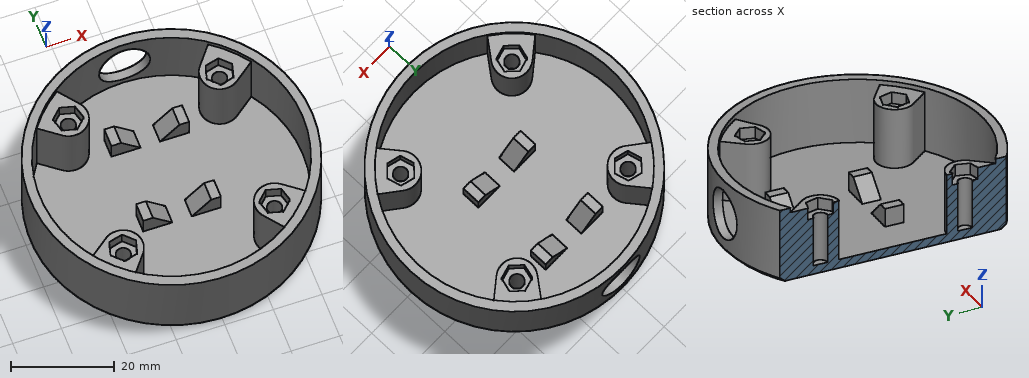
import cadquery as cq
import math

outer_diameter = 58.0
wall_thickness = 2.0
cup_height = 16.0
floor_thickness = 2.0
bottom_chamfer = 1.0
outer_radius = outer_diameter / 2
inner_radius = outer_radius - wall_thickness

post_count = 4
post_first_angle = 45.0
post_circle_radius = 22.0
post_radius = 4.0
post_flare_angle = 7.2
post_root_embed = wall_thickness / 2
rim_above_post = 1.0
post_top = cup_height - rim_above_post
screw_hole_diameter = 3.0
nut_pocket_corner_diameter = 6.0
nut_sides = 6
nut_pocket_turn = 90.0
nut_pocket_depth = 2.5

wedge_length = 6.0
wedge_width = 4.0
wedge_height = 4.0
wedge_flat = 2.0
wedge_toe_offset = 2.0
wedge_row_centers = (-4.0, 14.0)

cable_hole_diameter = 10.5
cable_hole_height = 8.5


def make_cup():
    """Open round cup with a chamfered bottom edge."""
    cup = cq.Workplane("XY").circle(outer_radius).extrude(cup_height)
    cup = cup.faces("<Z").chamfer(bottom_chamfer)
    cavity = (
        cq.Workplane("XY", origin=(0, 0, floor_thickness))
        .circle(inner_radius)
        .extrude(cup_height - floor_thickness)
    )
    return cup.cut(cavity)


def make_post():
    """Post on the +X axis: a rounded nose whose tangent sides flare out into the wall."""
    flare = math.radians(post_flare_angle)
    tangent_x = post_circle_radius - post_radius * math.sin(flare)
    tangent_y = post_radius * math.cos(flare)
    root_x = inner_radius + post_root_embed
    root_y = tangent_y + (root_x - tangent_x) * math.tan(flare)
    return (
        cq.Workplane("XY", origin=(0, 0, floor_thickness))
        .moveTo(root_x, -root_y)
        .lineTo(tangent_x, -tangent_y)
        .threePointArc((post_circle_radius - post_radius, 0), (tangent_x, tangent_y))
        .lineTo(root_x, root_y)
        .close()
        .extrude(post_top - floor_thickness)
    )


def make_post_bore():
    """Screw hole down to the floor with a hexagonal nut pocket at the post top."""
    hole = (
        cq.Workplane("XY", origin=(post_circle_radius, 0, floor_thickness))
        .circle(screw_hole_diameter / 2)
        .extrude(post_top - floor_thickness)
    )
    pocket = (
        cq.Workplane("XY", origin=(post_circle_radius, 0, post_top - nut_pocket_depth))
        .transformed(rotate=(0, 0, nut_pocket_turn))
        .polygon(nut_sides, nut_pocket_corner_diameter)
        .extrude(nut_pocket_depth)
    )
    return hole.union(pocket)


def make_wedge(row_center):
    """Wedge on the +X side, rising away from the centre to a flat top."""
    heel_x = wedge_toe_offset + wedge_length
    return (
        cq.Workplane("XZ", origin=(0, row_center, floor_thickness))
        .moveTo(wedge_toe_offset, 0)
        .lineTo(heel_x, 0)
        .lineTo(heel_x, wedge_height)
        .lineTo(heel_x - wedge_flat, wedge_height)
        .close()
        .extrude(wedge_width / 2, both=True)
    )


def make_cable_hole():
    """Cylinder from the centre out through the +Y wall."""
    return (
        cq.Workplane("XZ", origin=(0, 0, cable_hole_height))
        .circle(cable_hole_diameter / 2)
        .extrude(-outer_diameter)
    )


result = make_cup()

for index in range(post_count):
    angle = post_first_angle + index * 360 / post_count
    result = result.union(make_post().rotate((0, 0, 0), (0, 0, 1), angle))
    result = result.cut(make_post_bore().rotate((0, 0, 0), (0, 0, 1), angle))

for row_center in wedge_row_centers:
    wedge = make_wedge(row_center)
    result = result.union(wedge).union(wedge.mirror("YZ"))

result = result.cut(make_cable_hole())